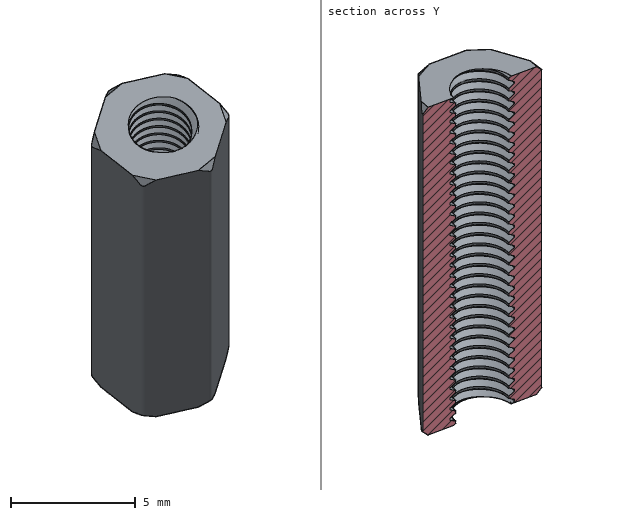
import cadquery as cq
import math

LENGTH = 16.0
ACROSS_FLATS = 5.0
CORNER_RADIUS = 0.2
CORNER_CHAMFER = 0.25

THREAD_MINOR_RADIUS = 2.53 / 2
THREAD_MAJOR_RADIUS = 3.09 / 2
THREAD_PITCH = 0.5
THREAD_ANGLE = 60.0
ROOT_FLAT = THREAD_PITCH / 8
THREAD_START = 90.0
GROOVE_OVERRUN = THREAD_PITCH / 2
GROOVE_OVERLAP = 0.05

SIDES = 6
SIDE_ANGLE = 360.0 / SIDES
SHARP_CORNER_RADIUS = ACROSS_FLATS / 2 / math.cos(math.pi / SIDES)
ROUNDED_CORNER_RADIUS = SHARP_CORNER_RADIUS - CORNER_RADIUS * (1 / math.cos(math.pi / SIDES) - 1)


def hexagonal_bar():
    """Hexagonal bar with two flats facing +Y and -Y and rounded long edges."""
    bar = cq.Workplane("XY").polygon(SIDES, 2 * SHARP_CORNER_RADIUS).extrude(LENGTH)
    return bar.edges("|Z").fillet(CORNER_RADIUS)


def corner_chamfer_envelope():
    """Slab along X whose sloping end faces bevel one opposite pair of corners."""
    tip = ROUNDED_CORNER_RADIUS
    shoulder = tip - CORNER_CHAMFER
    profile = [
        (-shoulder, 0),
        (shoulder, 0),
        (tip, CORNER_CHAMFER),
        (tip, LENGTH - CORNER_CHAMFER),
        (shoulder, LENGTH),
        (-shoulder, LENGTH),
        (-tip, LENGTH - CORNER_CHAMFER),
        (-tip, CORNER_CHAMFER),
    ]
    return cq.Workplane("XZ").polyline(profile).close().extrude(SHARP_CORNER_RADIUS, both=True)


def thread_groove():
    """Right-handed flat-bottomed V groove, running half a turn past each end of the bar."""
    inner_radius = THREAD_MINOR_RADIUS - GROOVE_OVERLAP
    flank_slope = math.tan(math.radians(THREAD_ANGLE / 2))
    half_width = ROOT_FLAT / 2 + (THREAD_MAJOR_RADIUS - inner_radius) * flank_slope
    helix = cq.Wire.makeHelix(THREAD_PITCH, LENGTH + 2 * GROOVE_OVERRUN, THREAD_MINOR_RADIUS)
    section = [
        (inner_radius, -half_width),
        (THREAD_MAJOR_RADIUS, -ROOT_FLAT / 2),
        (THREAD_MAJOR_RADIUS, ROOT_FLAT / 2),
        (inner_radius, half_width),
    ]
    groove = cq.Workplane("XZ").polyline(section).close().sweep(cq.Workplane(helix), isFrenet=True)
    first_angle = THREAD_START - 360.0 * GROOVE_OVERRUN / THREAD_PITCH
    return groove.rotate((0, 0, 0), (0, 0, 1), first_angle).translate((0, 0, -GROOVE_OVERRUN))


def chamfered_bar():
    """Hexagonal bar with every corner bevelled at both ends."""
    bar = hexagonal_bar()
    envelope = corner_chamfer_envelope()
    for corner_pair in range(SIDES // 2):
        bar = bar.intersect(envelope.rotate((0, 0, 0), (0, 0, 1), corner_pair * SIDE_ANGLE))
    return bar


def bore():
    """Through hole at the minor diameter of the thread."""
    return cq.Workplane("XY").circle(THREAD_MINOR_RADIUS).extrude(LENGTH)


result = chamfered_bar().cut(thread_groove()).cut(bore())